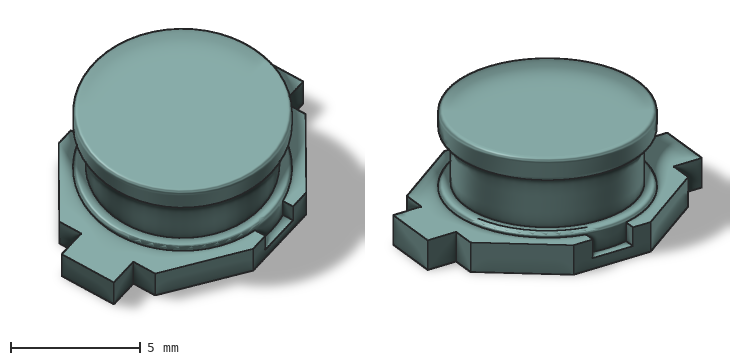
import cadquery as cq

base_width = 9.25
overall_length = 12.6
base_length = 10.0
base_height = 1.3
end_flat = 4.56
side_flat = 3.54
tab_width = 2.48

notch_width = 1.84
notch_offset = -0.04
notch_depth = 0.82
notch_floor = base_height - notch_depth

overall_height = 4.75
flange_diameter = 8.48
core_diameter = 7.51
flange_height = 1.01
flange_fillet = 0.2
lower_flange_top = base_height + flange_fillet


def make_base():
    """Octagonal plate with two end tabs and two side notches."""
    half_width = base_width / 2
    half_length = base_length / 2
    plate = (
        cq.Workplane("XY")
        .polyline([
            (half_width, -side_flat / 2),
            (half_width, side_flat / 2),
            (end_flat / 2, half_length),
            (-end_flat / 2, half_length),
            (-half_width, side_flat / 2),
            (-half_width, -side_flat / 2),
            (-end_flat / 2, -half_length),
            (end_flat / 2, -half_length),
        ])
        .close()
        .extrude(base_height)
    )
    tabs = cq.Workplane("XY").rect(tab_width, overall_length).extrude(base_height)
    notches = (
        cq.Workplane("XY")
        .workplane(offset=notch_floor)
        .center(0, notch_offset)
        .rect(base_width, notch_width)
        .extrude(notch_depth)
    )
    return plate.union(tabs).cut(notches)


def make_flange(bottom, top, rounded_faces):
    """Disc from height bottom to top, with the rims of the selected faces rounded."""
    return (
        cq.Workplane("XY")
        .workplane(offset=bottom)
        .circle(flange_diameter / 2)
        .extrude(top - bottom)
        .faces(rounded_faces)
        .edges()
        .fillet(flange_fillet)
    )


def make_drum():
    """Core post between two flanges; the lower one is sunk to the notch floor."""
    upper_flange_bottom = overall_height - flange_height
    post = (
        cq.Workplane("XY")
        .workplane(offset=notch_floor)
        .circle(core_diameter / 2)
        .extrude(upper_flange_bottom - notch_floor)
    )
    lower_flange = make_flange(notch_floor, lower_flange_top, ">Z")
    upper_flange = make_flange(upper_flange_bottom, overall_height, "|Z")
    return post.union(lower_flange).union(upper_flange)


result = make_base().union(make_drum())